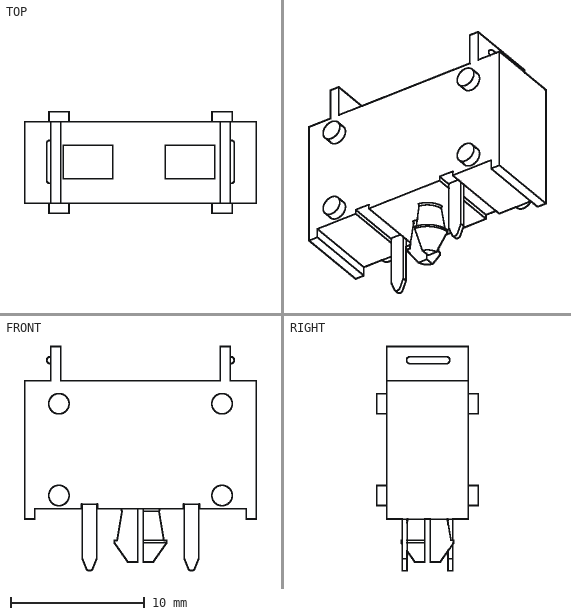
import cadquery as cq

length = 17.3
total_height = 16.76
width = 6.1
body_top = 10.35
foot_length = 0.76
foot_height = 0.76
underside = foot_height

boss_diameter = 1.52
total_width = 7.6
boss_x = 6.09
boss_low_z = 1.76
boss_high_z = 8.62

ear_outer_x = 6.71
ear_thickness = 0.76
ear_top = 12.9
bead_radius = 0.26
bead_length = 3.24
bead_standoff = 0.03
bead_y = 0.05
bead_z = 11.87

pocket_length = 3.7
pocket_width = 2.5
pocket_depth = 5.19
pocket_spacing = 7.61
pocket_pair_x = -0.12
pocket_y = 0.05

peg_bottom = -3.2
peg_slot = 0.38
peg_tip_radius = 0.97
peg_lip_radius = 1.97
peg_lip_bottom = -1.76
peg_lip_top = -1.6
peg_shank_radius = 1.76
peg_neck_radius = 1.4
peg_root_radius = 1.47
peg_neck_z = 0.59

pin_x = 3.8
pin_width = 1.09
pin_thickness = 0.38
pin_y = 1.71
pin_bottom = ear_top - total_height
pin_shoulder_z = -2.95
pin_tip_width = 0.52
pin_tip_height = 0.19
pin_slot_width = 1.2
pin_slot_top = 1.12


def block(x_range, y_range, z_range):
    """Box given by its lower and upper limits along each axis."""
    size = [high - low for low, high in (x_range, y_range, z_range)]
    corner = (x_range[0], y_range[0], z_range[0])
    return cq.Workplane("XY").box(*size, centered=False).translate(corner)


def centered_range(center, size):
    return center - size / 2, center + size / 2


full_y = centered_range(0, width)


def make_boss(x, z):
    """Round boss running through the block and standing out on both sides."""
    return (
        cq.Workplane("XZ")
        .center(x, z)
        .circle(boss_diameter / 2)
        .extrude(total_width / 2, both=True)
    )


def make_ear(side):
    """Upright ear with its bead; side is -1 or +1 along X."""
    center_x = side * (ear_outer_x - ear_thickness / 2)
    ear = block(centered_range(center_x, ear_thickness), full_y, (underside, ear_top))

    bead_straight = bead_length - 2 * bead_radius
    bead = (
        cq.Workplane("XZ")
        .circle(bead_radius)
        .extrude(bead_straight / 2, both=True)
    )
    for end in (-1, 1):
        ball = cq.Workplane("XY").sphere(bead_radius).translate((0, end * bead_straight / 2, 0))
        bead = bead.union(ball)
    return ear.union(bead.translate((side * (ear_outer_x + bead_standoff), bead_y, bead_z)))


def make_peg():
    """Barbed peg: two diagonally opposite quarters of a turned shape."""
    turned = (
        cq.Workplane("XZ")
        .moveTo(0, peg_bottom)
        .lineTo(peg_tip_radius, peg_bottom)
        .lineTo(peg_lip_radius, peg_lip_bottom)
        .lineTo(peg_lip_radius, peg_lip_top)
        .lineTo(peg_shank_radius, peg_lip_top)
        .lineTo(peg_neck_radius, peg_neck_z)
        .lineTo(peg_root_radius, underside)
        .lineTo(0, underside)
        .close()
        .revolve(360, (0, 0, 0), (0, 1, 0))
    )
    near = (peg_slot / 2, peg_lip_radius)
    far = (-peg_lip_radius, -peg_slot / 2)
    height = (peg_bottom, underside)
    quarters = block(near, far, height).union(block(far, near, height))
    return turned.intersect(quarters)


def make_housing():
    body = block(centered_range(0, length), full_y, (0, body_top))
    body = body.cut(block(centered_range(0, length - 2 * foot_length), full_y, (0, underside)))

    for side in (-1, 1):
        body = body.union(make_ear(side))
        for z in (boss_low_z, boss_high_z):
            body = body.union(make_boss(side * boss_x, z))

    for x in (-pin_x, pin_x):
        pin_slot = block(centered_range(x, pin_slot_width), full_y, (underside, pin_slot_top))
        body = body.cut(pin_slot)

    for side in (-1, 1):
        pocket = block(
            centered_range(pocket_pair_x + side * pocket_spacing / 2, pocket_length),
            centered_range(pocket_y, pocket_width),
            (body_top - pocket_depth, body_top),
        )
        body = body.cut(pocket)
    return body.union(make_peg())


def make_contact_pin(x, y):
    """Flat contact pin with a tapered, rounded tip."""
    half_width = pin_width / 2
    half_tip = pin_tip_width / 2
    tip_z = pin_bottom + pin_tip_height
    return (
        cq.Workplane("XZ")
        .moveTo(-half_width, pin_slot_top)
        .lineTo(-half_width, pin_shoulder_z)
        .lineTo(-half_tip, tip_z)
        .threePointArc((0, pin_bottom), (half_tip, tip_z))
        .lineTo(half_width, pin_shoulder_z)
        .lineTo(half_width, pin_slot_top)
        .close()
        .extrude(pin_thickness / 2, both=True)
        .translate((x, y, 0))
    )


housing = make_housing()

contact_pins = []
for side in (-1, 1):
    contact_pins.append(make_contact_pin(side * pin_x, -side * pin_y).val())

result = cq.Compound.makeCompound([housing.val(), *contact_pins])